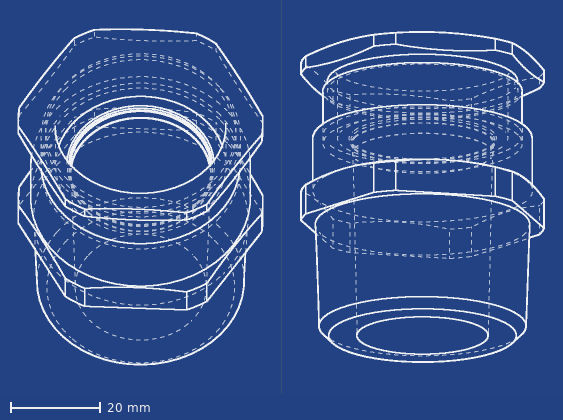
import cadquery as cq
import math

total_height = 63.75

across_flats = 50.0
across_flats_diameter = across_flats / math.cos(math.pi / 6)
corner_radius = 27.5

spigot_end_chamfer = 2.2
spigot_tip_radius = 23.3
spigot_root_radius = 24.1
body_hex_bottom = 26.05
body_hex_top = 34.0
body_hex_chamfer_drop = 1.1
collar_radius = 24.7
collar_top = 47.0
collar_fillet = 1.0

bore_bottom_radius = 14.75
bore_top_radius = 15.7
counterbore_radius = 15.85
bore_cone_top = 42.75

sleeve_radius = 22.4
sleeve_top = 57.3
neck_radius = 21.4
nut_hex_bottom = 59.55
nut_face_radius = 24.9
nut_chamfer_drop = 0.75

nut_bottom = 45.1
flange_thickness = 1.2
flange_top = nut_bottom + flange_thickness
flange_hole_radius = 16.15
flange_hole_chamfer = 0.4
nut_bore_radius = 19.15
mouth_round = 3.0


def hex_bar(bottom, top):
    """Hexagonal bar with one pair of flats facing -X and +X."""
    return (
        cq.Workplane("XY", origin=(0, 0, bottom))
        .polygon(6, across_flats_diameter)
        .extrude(top - bottom)
        .rotate((0, 0, 0), (0, 0, 1), 30)
    )


def revolve_profile(profile):
    """Turn a closed (radius, height) profile around the Z axis."""
    return profile.close().revolve(360, (0, 0, 0), (0, 1, 0))


def make_body():
    hex_blank = revolve_profile(
        cq.Workplane("XZ")
        .moveTo(0, body_hex_bottom)
        .lineTo(corner_radius, body_hex_bottom)
        .lineTo(corner_radius, body_hex_top - body_hex_chamfer_drop)
        .lineTo(collar_radius, body_hex_top)
        .lineTo(0, body_hex_top)
    )
    hexagon = hex_blank.intersect(hex_bar(body_hex_bottom, body_hex_top))

    spigot = revolve_profile(
        cq.Workplane("XZ")
        .lineTo(spigot_tip_radius - spigot_end_chamfer, 0)
        .lineTo(spigot_tip_radius, spigot_end_chamfer)
        .lineTo(spigot_root_radius, body_hex_bottom)
        .lineTo(0, body_hex_bottom)
    )
    collar = (
        cq.Workplane("XY", origin=(0, 0, body_hex_bottom))
        .circle(collar_radius)
        .extrude(collar_top - body_hex_bottom)
        .faces(">Z")
        .edges()
        .fillet(collar_fillet)
    )

    bore = revolve_profile(
        cq.Workplane("XZ")
        .lineTo(bore_bottom_radius, 0)
        .lineTo(bore_top_radius, bore_cone_top)
        .lineTo(counterbore_radius, bore_cone_top)
        .lineTo(counterbore_radius, nut_bottom)
        .lineTo(sleeve_radius, nut_bottom)
        .lineTo(sleeve_radius, collar_top)
        .lineTo(0, collar_top)
    )
    return spigot.union(hexagon).union(collar).cut(bore)


def make_nut():
    hex_blank = revolve_profile(
        cq.Workplane("XZ")
        .moveTo(0, nut_hex_bottom)
        .lineTo(nut_face_radius, nut_hex_bottom)
        .lineTo(corner_radius, nut_hex_bottom + nut_chamfer_drop)
        .lineTo(corner_radius, total_height - nut_chamfer_drop)
        .lineTo(nut_face_radius, total_height)
        .lineTo(0, total_height)
    )
    hexagon = hex_blank.intersect(hex_bar(nut_hex_bottom, total_height))

    sleeve = (
        cq.Workplane("XY", origin=(0, 0, nut_bottom))
        .circle(sleeve_radius)
        .extrude(sleeve_top - nut_bottom)
    )
    neck = (
        cq.Workplane("XY", origin=(0, 0, sleeve_top))
        .circle(neck_radius)
        .extrude(nut_hex_bottom - sleeve_top)
    )

    round_offset = mouth_round * (1 - math.sqrt(0.5))
    bore = revolve_profile(
        cq.Workplane("XZ")
        .moveTo(0, nut_bottom)
        .lineTo(flange_hole_radius, nut_bottom)
        .lineTo(flange_hole_radius, flange_top - flange_hole_chamfer)
        .lineTo(flange_hole_radius + flange_hole_chamfer, flange_top)
        .lineTo(nut_bore_radius, flange_top)
        .lineTo(nut_bore_radius, total_height - mouth_round)
        .threePointArc(
            (nut_bore_radius + round_offset, total_height - round_offset),
            (nut_bore_radius + mouth_round, total_height),
        )
        .lineTo(0, total_height)
    )
    return hexagon.union(neck).union(sleeve).cut(bore)


body = make_body()
nut = make_nut()

result = cq.Compound.makeCompound([body.solids().val(), nut.solids().val()])